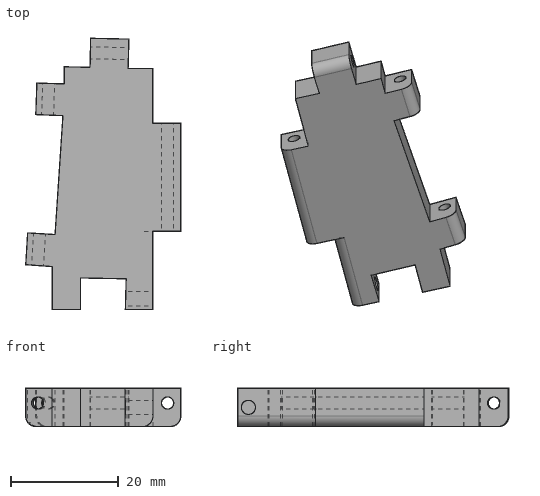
import cadquery as cq
import math

thickness = 7.15
length = 50.3
total_width = 28.8
body_right = 23.6
round_radius = 1.95

hole_diameter = 2.2
leg_hole_diameter = 2.6
hole_height = 4.4

left_leg = (4.95, 10.2)
right_leg_inner = 18.45
notch_top_left = (left_leg[1], 5.85)
notch_top_right = (18.6, 5.7)
leg_hole_y = 2.0
leg_hole_height = thickness / 2

right_lug_y = (14.5, 34.55)
right_lug_hole_x = 26.3

lower_lug = [(0.0, 8.3), (0.35, 14.25), (5.45, 13.95), (left_leg[0], 7.95)]
shoulder_left = 7.15
upper_lug = [(1.85, 36.1), (2.05, 42.0), (shoulder_left, 41.85), (6.9, 35.9)]
left_hole_inset = 2.2

right_shoulder_y = 44.75
top_lug = [(11.9, 44.95), (12.0, length), (19.15, 50.15), (19.0, right_shoulder_y)]
left_shoulder_y = 45.05
top_hole_inset = 2.7

cut_margin = 0.5


def between(start, end, distance):
    """Point at a distance from start on the line towards end."""
    fraction = distance / math.dist(start, end)
    return tuple(a + (b - a) * fraction for a, b in zip(start, end))


def hole_through(start, end, diameter, height):
    """Horizontal cylinder from start to end, lengthened a little at both ends."""
    span = math.dist(start, end)
    first = between(start, end, -cut_margin)
    direction = cq.Vector(end[0] - start[0], end[1] - start[1], 0)
    return cq.Workplane(cq.Solid.makeCylinder(
        diameter / 2, span + 2 * cut_margin, cq.Vector(*first, height), direction))


def lug_hole(lug, inset):
    """Hole across a lug, at an inset from its outer edge."""
    outer_start, outer_end, inner_end, inner_start = lug
    start = between(outer_start, inner_start, inset)
    end = between(outer_end, inner_end, inset)
    return hole_through(start, end, hole_diameter, hole_height)


def bottom_edge(start, end):
    """Selector for the bottom edge joining two outline corners."""
    middle = between(start, end, math.dist(start, end) / 2)
    return cq.selectors.NearestToPointSelector((*middle, 0))


outline = [
    (left_leg[0], 0), (left_leg[1], 0),
    notch_top_left, notch_top_right,
    (right_leg_inner, 0), (body_right, 0),
    (body_right, right_lug_y[0]), (total_width, right_lug_y[0]),
    (total_width, right_lug_y[1]), (body_right, right_lug_y[1]),
    (body_right, right_shoulder_y),
    *reversed(top_lug),
    (shoulder_left, left_shoulder_y),
    upper_lug[2], upper_lug[1], upper_lug[0], upper_lug[3],
    lower_lug[2], lower_lug[1], lower_lug[0], lower_lug[3],
]
result = cq.Workplane("XY").polyline(outline).close().extrude(thickness)

rounded_edges = [
    (lower_lug[0], lower_lug[1]),
    (upper_lug[0], upper_lug[1]),
    (top_lug[1], top_lug[2]),
    ((total_width, right_lug_y[0]), (total_width, right_lug_y[1])),
    ((body_right, 0), (body_right, right_lug_y[0])),
]
for start, end in rounded_edges:
    result = result.edges(bottom_edge(start, end)).fillet(round_radius)

for lug in (lower_lug, upper_lug):
    result = result.cut(lug_hole(lug, left_hole_inset))

top_lug_from_tip = [top_lug[1], top_lug[2], top_lug[3], top_lug[0]]
result = result.cut(lug_hole(top_lug_from_tip, top_hole_inset))

right_hole_ends = [(right_lug_hole_x, y) for y in right_lug_y]
result = result.cut(hole_through(*right_hole_ends, hole_diameter, hole_height))

leg_hole_ends = [(x, leg_hole_y) for x in (right_leg_inner, body_right)]
result = result.cut(hole_through(*leg_hole_ends, leg_hole_diameter, leg_hole_height))